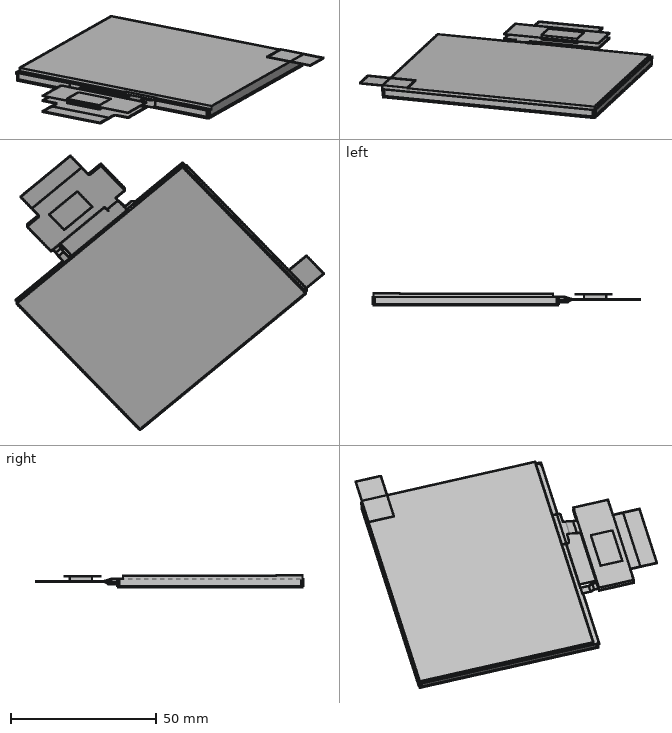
import cadquery as cq


module_width = 77.1
module_depth = 64.1
tray_height = 2.9
glass_top = 4.1
ledge_depth = 2.0
skin = 0.3
bezel_bottom = 0.55
rim_height = 0.4
corner_relief = 0.9
bezel_gap = 34.1
gap_radius = 0.4

tape_thickness = 0.2
tape_width = 17.2
tape_depth = 9.0
tape_overhang = 8.1

board_bottom = 2.0
board_thickness = 0.3
board_width = bezel_gap
board_depth = 12.4
board_gap = 5.7
main_cable_thickness = 0.1
main_cable_left = -12.9
main_cable_right = 12.8
tail_left = -11.3
tail_width = 23.0
tail_length = 9.75
stiffener_length = 5.9
stiffener_thickness = 0.05
web_radius = 0.55

chip_width = 13.0
chip_depth = 7.7
chip_center_x = -1.9
chip_center_y = -44.5
cover_bottom = 3.9
cover_thickness = 0.1

panel_cable_thickness = 0.2
tab_left = 4.0
tab_width = 12.5
tab_overhang = 0.9
tab_outer_radius = 0.8
tab_inner_radius = 0.4
neck_width = 5.15
neck_left = main_cable_right - neck_width
neck_bend_start = 1.8
neck_bend_end = 4.5

light_left = -16.2
light_width = 2.5
light_thickness = 0.1
light_bottom = 1.2
light_bend_start = 2.9
light_bend_end = 4.2

front_y = -module_depth / 2
core_front_y = front_y + skin
core_width = module_width - 2 * skin
core_depth = module_depth - 2 * skin
board_back_y = front_y - board_gap
board_front_y = board_back_y - board_depth
board_top = board_bottom + board_thickness
main_cable_top = board_bottom + main_cable_thickness
tail_end_y = board_front_y - tail_length


def box(x0, x1, y0, y1, z0, z1):
    return cq.Workplane("XY").box(x1 - x0, y1 - y0, z1 - z0, centered=False).translate((x0, y0, z0))


def centered_box(width, depth, z0, z1):
    return box(-width / 2, width / 2, -depth / 2, depth / 2, z0, z1)


def make_tray():
    """Core block with a thin bezel that is open at the corners and at the front cables."""
    core = centered_box(core_width, core_depth, 0, tray_height)
    rim = centered_box(module_width, module_depth, tray_height - rim_height, tray_height)
    side_walls = centered_box(module_width, module_depth - 2 * corner_relief, bezel_bottom, tray_height)
    end_walls = centered_box(module_width - 2 * corner_relief, module_depth, bezel_bottom, tray_height)
    bezel = rim.union(side_walls).union(end_walls)
    opening = box(-bezel_gap / 2, bezel_gap / 2, front_y, core_front_y, bezel_bottom, tray_height)
    bezel = bezel.cut(opening.edges("|Y and >X and <Z").fillet(gap_radius))
    return core.union(bezel)


def make_glass():
    """Glass plate, set in like the core except on the right, where it is flush with the bezel."""
    return box(
        -core_width / 2, module_width / 2, front_y + ledge_depth, core_depth / 2, tray_height, glass_top
    )


def make_tape():
    right = module_width / 2 + tape_overhang
    back = core_depth / 2
    return box(right - tape_width, right, back - tape_depth, back, glass_top, glass_top + tape_thickness)


def make_board():
    """Board with the main cable at the back and the stiffened tail at the front."""
    half = board_width / 2
    tail_right = tail_left + tail_width
    board = box(-half, half, board_front_y, board_back_y, board_bottom, board_top)
    main_cable = box(
        main_cable_left, main_cable_right, board_back_y, core_front_y, board_bottom, main_cable_top
    )
    tail = box(tail_left, tail_right, tail_end_y, board_front_y, board_bottom, board_top)
    board = board.union(main_cable).union(tail)
    inside_corners = [
        (main_cable_left, board_back_y),
        (main_cable_right, board_back_y),
        (tail_left, board_front_y),
        (tail_right, board_front_y),
    ]
    for x, y in inside_corners:
        corner = cq.selectors.NearestToPointSelector((x, y, board_bottom))
        board = board.edges("|Z").edges(corner).fillet(web_radius)
    stiffener = box(
        tail_left, tail_right, tail_end_y, tail_end_y + stiffener_length,
        board_top, board_top + stiffener_thickness,
    )
    return board.union(stiffener)


def make_chip_and_cover():
    chip = box(
        chip_center_x - chip_width / 2, chip_center_x + chip_width / 2,
        chip_center_y - chip_depth / 2, chip_center_y + chip_depth / 2,
        board_top, cover_bottom,
    )
    cover = box(
        -board_width / 2, board_width / 2, board_front_y, board_back_y,
        cover_bottom, cover_bottom + cover_thickness,
    )
    return chip.union(cover)


def stepped_cable(left, width, thickness, start, bend_start, bend_end, end_z):
    """Strip that runs level from its start point, slopes to end_z and runs level to the board.

    The start point and end_z give the underside of the strip.
    """
    underside = [
        start,
        (front_y - bend_start, start[1]),
        (front_y - bend_end, end_z),
        (board_back_y, end_z),
    ]
    upper_side = [(y, z + thickness) for y, z in reversed(underside)]
    profile = cq.Workplane("YZ").polyline(underside + upper_side).close()
    return profile.extrude(width).translate((left, 0, 0))


def make_panel_cable():
    tab_front_y = front_y - tab_overhang
    bend_start_y = front_y - neck_bend_start
    tab_top = tray_height + panel_cable_thickness
    tab = box(
        tab_left, tab_left + tab_width, tab_front_y, front_y + ledge_depth, tray_height, tab_top
    ).edges("|Z and <Y").fillet(tab_outer_radius)
    neck_stub = box(
        neck_left, neck_left + neck_width, bend_start_y, tab_front_y, tray_height, tab_top
    )
    tab = tab.union(neck_stub)
    for x in (neck_left, neck_left + neck_width):
        corner = cq.selectors.NearestToPointSelector((x, tab_front_y, tray_height))
        tab = tab.edges("|Z").edges(corner).fillet(tab_inner_radius)
    neck = stepped_cable(
        neck_left, neck_width, panel_cable_thickness, (tab_front_y, tray_height),
        neck_bend_start, neck_bend_end, main_cable_top,
    )
    return tab.union(neck)


def make_backlight_cable():
    return stepped_cable(
        light_left, light_width, light_thickness, (core_front_y, light_bottom),
        light_bend_start, light_bend_end, board_bottom,
    )


result = (
    make_tray()
    .union(make_glass())
    .union(make_tape())
    .union(make_board())
    .union(make_chip_and_cover())
    .union(make_panel_cable())
    .union(make_backlight_cable())
)